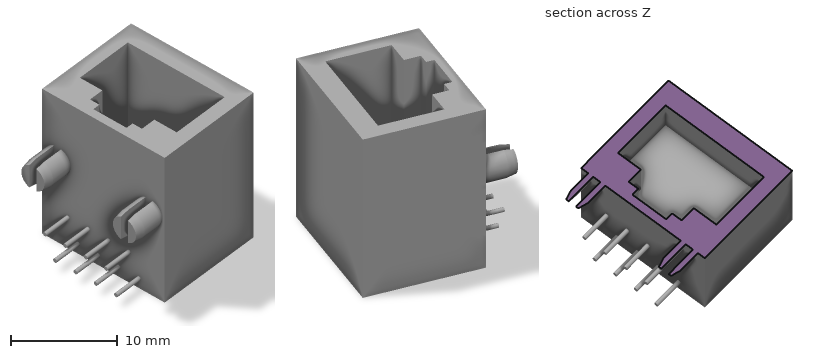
import cadquery as cq

body_width = 15.3
body_depth = 12.67
body_height = 17.74

cavity_depth = 12.42
cavity_back_wall = 2.29
cavity_width = 12.08
cavity_length = 6.83
latch_width = 6.48
latch_length = 1.75
key_width = 4.13
key_length = 0.85

peg_diameter = 3.23
peg_tip_diameter = 2.87
peg_length = 3.53
peg_tip_length = 1.05
peg_slot_width = 0.87
peg_spacing = 11.42
peg_height = 10.08

pin_diameter = 0.46
pin_length = 3.28
pin_pitch = 2.54
pins_per_row = 4
lower_row_height = 1.2
row_spacing = 2.54
row_stagger = pin_pitch / 2


def make_housing():
    housing = cq.Workplane("XY").box(
        body_width, body_depth, body_height, centered=(True, False, False)
    )
    steps = [
        (cavity_width, cavity_length),
        (latch_width, latch_length),
        (key_width, key_length),
    ]
    step_back = body_depth - cavity_back_wall
    for width, length in steps:
        step = (
            cq.Workplane("XY", origin=(0, step_back - length, body_height - cavity_depth))
            .box(width, length, cavity_depth, centered=(True, False, False))
        )
        housing = housing.cut(step)
        step_back -= length
    return housing


def make_peg(x):
    """Peg pointing along -Y, with a tapered tip and a vertical slot down its middle."""
    radius = peg_diameter / 2
    tip_radius = peg_tip_diameter / 2
    straight_length = peg_length - peg_tip_length
    peg = (
        cq.Workplane("XY")
        .moveTo(0, 0)
        .lineTo(radius, 0)
        .lineTo(radius, -straight_length)
        .lineTo(tip_radius, -peg_length)
        .lineTo(0, -peg_length)
        .close()
        .revolve(360, (0, 0), (0, 1))
    )
    slot = (
        cq.Workplane("XY", origin=(0, -peg_length / 2, 0))
        .box(peg_slot_width, peg_length, peg_diameter)
    )
    return peg.cut(slot).translate((x, 0, peg_height))


def make_pin_row(first_x, height):
    """Row of pins pointing along -Y."""
    centers = [(first_x + i * pin_pitch, height) for i in range(pins_per_row)]
    return cq.Workplane("XZ").pushPoints(centers).circle(pin_diameter / 2).extrude(pin_length)


result = make_housing()

for side in (-1, 1):
    result = result.union(make_peg(side * peg_spacing / 2))

row_half_length = (pins_per_row - 1) * pin_pitch / 2
lower_row_x = -row_half_length + row_stagger / 2
upper_row_x = lower_row_x - row_stagger
result = result.union(make_pin_row(lower_row_x, lower_row_height))
result = result.union(make_pin_row(upper_row_x, lower_row_height + row_spacing))